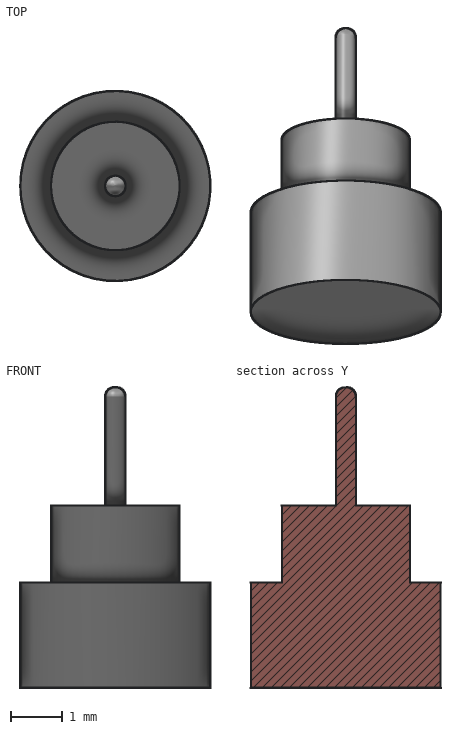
import cadquery as cq
import math

BASE_DIAMETER = 3.7
BASE_HEIGHT = 2.05
COLLAR_DIAMETER = 2.5
COLLAR_HEIGHT = 1.5
INSULATOR_DIAMETER = 1.95
PIN_DIAMETER = 0.4
TIP_ROUNDING = 0.19
TOTAL_HEIGHT = 5.85

base_radius = BASE_DIAMETER / 2
collar_radius = COLLAR_DIAMETER / 2
insulator_radius = INSULATOR_DIAMETER / 2
pin_radius = PIN_DIAMETER / 2
collar_top = BASE_HEIGHT + COLLAR_HEIGHT

tip_flat_radius = pin_radius - TIP_ROUNDING
tip_base = TOTAL_HEIGHT - TIP_ROUNDING
tip_mid_offset = TIP_ROUNDING * math.sqrt(0.5)
tip_mid = (-tip_flat_radius - tip_mid_offset, tip_base + tip_mid_offset)


def half_profile():
    """Closed half section in the XZ plane, on the -X side of the axis."""
    return (
        cq.Workplane("XZ")
        .moveTo(0, 0)
        .lineTo(-base_radius, 0)
        .lineTo(-base_radius, BASE_HEIGHT)
        .lineTo(-collar_radius, BASE_HEIGHT)
        .lineTo(-collar_radius, collar_top)
        .lineTo(-insulator_radius, collar_top)
        .lineTo(-pin_radius, collar_top)
        .lineTo(-pin_radius, tip_base)
        .threePointArc(tip_mid, (-tip_flat_radius, TOTAL_HEIGHT))
        .lineTo(0, TOTAL_HEIGHT)
        .close()
    )


result = half_profile().revolve(360, (0, 0, 0), (0, 1, 0), clean=False)